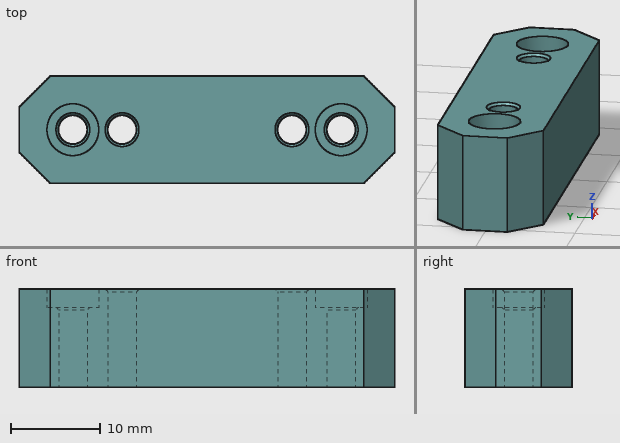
import cadquery as cq

length = 42.0
width = 12.0
height = 11.0
corner_chamfer = 3.5

hole_diameter = 3.2
countersink_diameter = 3.8
countersink_angle = 90.0
inner_hole_spacing = 19.0
outer_hole_spacing = 30.0
counterbore_diameter = 5.8
counterbore_depth = 2.0


def pair_points(spacing):
    """Two points on the X axis, the given distance apart."""
    return [(-spacing / 2, 0), (spacing / 2, 0)]


def make_block():
    block = cq.Workplane("XY").box(length, width, height, centered=(True, True, False))
    return block.edges("|Z").chamfer(corner_chamfer)


def cut_counterbores(body):
    plane = body.faces(">Z").workplane(origin=(0, 0, height))
    return plane.pushPoints(pair_points(outer_hole_spacing)).hole(counterbore_diameter, counterbore_depth)


def cut_countersunk_holes(body, spacing, mouth_height):
    """Through holes with a small countersink whose mouth lies at mouth_height."""
    plane = body.copyWorkplane(cq.Workplane("XY", origin=(0, 0, mouth_height)))
    return plane.pushPoints(pair_points(spacing)).cskHole(
        hole_diameter, countersink_diameter, countersink_angle
    )


result = make_block()
result = cut_counterbores(result)
result = cut_countersunk_holes(result, inner_hole_spacing, height)
result = cut_countersunk_holes(result, outer_hole_spacing, height - counterbore_depth)